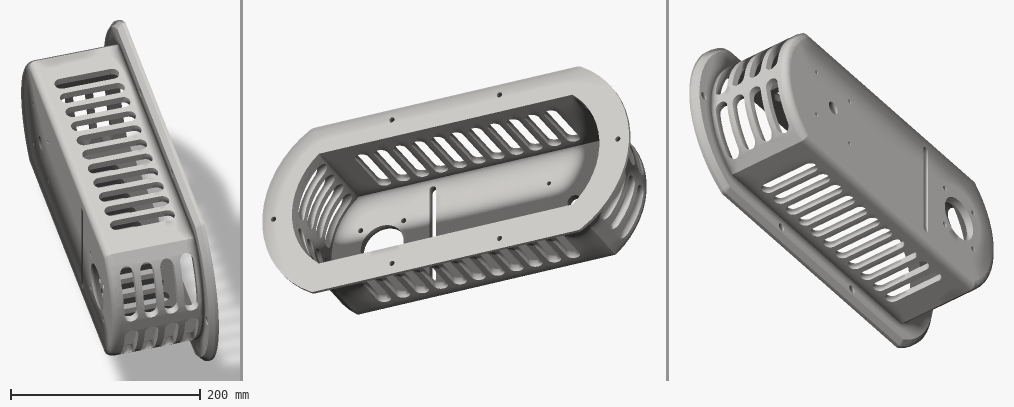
import cadquery as cq
flange_length = 426.5
flange_height = 200.0
flange_corner_x = 155.2
flange_thickness = 9.5
flange_corner_radius = 10.0
flange_chamfer = 5.5

housing_length = 373.5
housing_height = 150.0
housing_corner_x = 150.0
housing_depth = 98.0
wall = 8.0
front_edge_radius = 7.5

screw_hole_diameter = 6.0
screw_head_diameter = 9.0
screw_head_depth = 5.0
screw_spacing = 125.0
screw_x = (flange_length / 2 + housing_length / 2) / 2
screw_z = (flange_height / 2 + housing_height / 2) / 2

slot_width = 15.0
slot_pitch = 21.95
slot_row_y = -55.0
long_slot_count = 11
long_slot_length = 70.5
end_slot_count = 4
end_slot_z = 36.0
end_slot_length = 57.5
rear_end_slot_length = 60.0

shaft_hole_x = -103.0
shaft_hole_diameter = 15.0
shaft_screw_spacing = 58.5
shaft_screw_diameter = 4.5
front_slot_x = 61.0
front_slot_length = 117.0
front_slot_width = 7.5
port_x = 120.0
port_diameter = 50.0
port_screw_spacing = 50.0
port_screw_diameter = 6.0

flange_front_y = -flange_thickness
front_wall_inner_y = flange_front_y - housing_depth + wall
quarter_turn = 90


def bowed_outline(length, height, corner_x, y):
    """Closed outline with straight top and bottom and an arc at each end."""
    end_x = length / 2
    top_z = height / 2
    return (
        cq.Workplane("XZ", origin=(0, y, 0))
        .moveTo(-corner_x, top_z)
        .lineTo(corner_x, top_z)
        .threePointArc((end_x, 0), (corner_x, -top_z))
        .lineTo(-corner_x, -top_z)
        .threePointArc((-end_x, 0), (-corner_x, top_z))
        .close()
    )


def housing_outline(y):
    return bowed_outline(housing_length, housing_height, housing_corner_x, y)


def make_flange():
    """Chamfered plate with an opening that continues the housing cavity."""
    plate = (
        bowed_outline(flange_length, flange_height, flange_corner_x, 0)
        .extrude(flange_thickness)
        .edges("|Y")
        .fillet(flange_corner_radius)
        .faces("<Y")
        .edges()
        .chamfer(flange_chamfer)
    )
    opening = housing_outline(0).offset2D(-wall).extrude(flange_thickness)
    screw_points = [(-screw_x, 0), (screw_x, 0)]
    for x in (-screw_spacing / 2, screw_spacing / 2):
        screw_points += [(x, -screw_z), (x, screw_z)]
    return (
        plate.cut(opening)
        .copyWorkplane(cq.Workplane("XZ", origin=(0, flange_front_y, 0)))
        .pushPoints(screw_points)
        .cboreHole(screw_hole_diameter, screw_head_diameter, screw_head_depth)
    )


def slot_row_centers(count):
    """Positions of evenly pitched slots about zero."""
    return [(i - (count - 1) / 2) * slot_pitch for i in range(count)]


def cut_long_side_slots(body):
    """Slots running along Y, cut through the top and bottom walls."""
    points = [(x, slot_row_y) for x in slot_row_centers(long_slot_count)]
    cutter = (
        cq.Workplane("XY")
        .pushPoints(points)
        .slot2D(long_slot_length, slot_width, quarter_turn)
        .extrude(housing_height, both=True)
    )
    return body.cut(cutter)


def cut_end_slots(body):
    """Upright slots in two rows, cut through both bowed ends; the rearmost pair is longer."""
    centers = [slot_row_y + offset for offset in slot_row_centers(end_slot_count)]
    rearmost_y = max(centers)
    for y in centers:
        slot_length = rear_end_slot_length if y == rearmost_y else end_slot_length
        cutter = (
            cq.Workplane("YZ")
            .pushPoints([(y, -end_slot_z), (y, end_slot_z)])
            .slot2D(slot_length, slot_width, quarter_turn)
            .extrude(housing_length, both=True)
        )
        body = body.cut(cutter)
    return body


def front_wall_plane(x):
    """Sketch plane on the inside of the front wall, centred at x."""
    return cq.Workplane("XZ", origin=(x, front_wall_inner_y, 0))


def cut_hole_with_screws(body, x, hole_diameter, screw_square, screw_diameter):
    """A round hole through the front wall with four screw holes on a square around it."""
    hole = front_wall_plane(x).circle(hole_diameter / 2).extrude(wall)
    screw_holes = (
        front_wall_plane(x)
        .rect(screw_square, screw_square, forConstruction=True)
        .vertices()
        .circle(screw_diameter / 2)
        .extrude(wall)
    )
    return body.cut(hole).cut(screw_holes)


def cut_front_slot(body):
    cutter = (
        front_wall_plane(front_slot_x)
        .slot2D(front_slot_length, front_slot_width, quarter_turn)
        .extrude(wall)
    )
    return body.cut(cutter)


def make_shell():
    """Housing with rounded front edges, hollowed from the back."""
    block = (
        housing_outline(flange_front_y)
        .extrude(housing_depth)
        .faces("<Y")
        .edges()
        .fillet(front_edge_radius)
    )
    cavity = housing_outline(flange_front_y).offset2D(-wall).extrude(housing_depth - wall)
    return block.cut(cavity)


def make_housing():
    body = make_shell()
    body = cut_long_side_slots(body)
    body = cut_end_slots(body)
    body = cut_hole_with_screws(
        body, shaft_hole_x, shaft_hole_diameter, shaft_screw_spacing, shaft_screw_diameter
    )
    body = cut_hole_with_screws(body, port_x, port_diameter, port_screw_spacing, port_screw_diameter)
    return cut_front_slot(body)


flange = make_flange()
housing = make_housing()
result = cq.Compound.makeCompound([flange.val(), housing.val()])